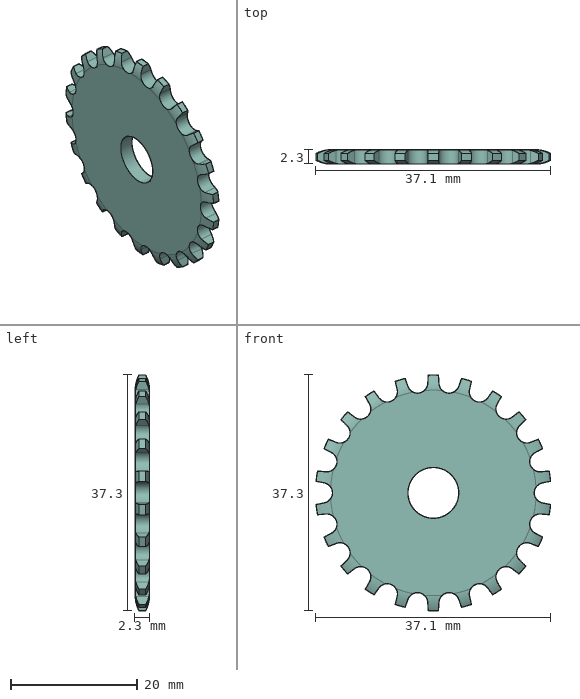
import cadquery as cq
import math

tooth_count = 22
chain_pitch = 5.0
roller_diameter = 3.2
outer_diameter = 37.3
plate_thickness = 2.3
bore_diameter = 8.0
tip_half_width = 0.83
flat_face_radius = 16.25
relief_radius = 5.0

tooth_angle = 360 / tooth_count
outer_radius = outer_diameter / 2
half_thickness = plate_thickness / 2
seat_radius = roller_diameter / 2
pitch_radius = chain_pitch / (2 * math.sin(math.pi / tooth_count))


def relief_depth(radius):
    """Axial depth of the rounded relief below the flat face at a given radius."""
    reach = radius - flat_face_radius
    return relief_radius - math.sqrt(relief_radius**2 - reach**2)


def make_blank():
    """Disc with rounded rim on both sides, revolved about the Y axis."""
    middle_radius = (flat_face_radius + outer_radius) / 2
    middle_y = half_thickness - relief_depth(middle_radius)
    tip_y = half_thickness - relief_depth(outer_radius)
    return (
        cq.Workplane("XY")
        .moveTo(0, -half_thickness)
        .lineTo(flat_face_radius, -half_thickness)
        .threePointArc((middle_radius, -middle_y), (outer_radius, -tip_y))
        .lineTo(outer_radius, tip_y)
        .threePointArc((middle_radius, middle_y), (flat_face_radius, half_thickness))
        .lineTo(0, half_thickness)
        .close()
        .revolve(360, (0, 0, 0), (0, 1, 0))
    )


def make_gap():
    """Cutter for one tooth gap on +Z: a round roller seat with straight flanks tangent to it."""
    tip_angle = math.pi / tooth_count - math.asin(tip_half_width / outer_radius)
    tip_x = outer_radius * math.sin(tip_angle)
    tip_z = outer_radius * math.cos(tip_angle)

    rise = tip_z - pitch_radius
    corner_direction = math.atan2(rise, tip_x)
    tangent_direction = corner_direction - math.acos(seat_radius / math.hypot(tip_x, rise))
    tangent_x = seat_radius * math.cos(tangent_direction)
    tangent_z = pitch_radius + seat_radius * math.sin(tangent_direction)

    end_x = 2 * tip_x - tangent_x
    end_z = 2 * tip_z - tangent_z
    return (
        cq.Workplane("XZ")
        .moveTo(-end_x, end_z)
        .lineTo(-tangent_x, tangent_z)
        .threePointArc((0, pitch_radius - seat_radius), (tangent_x, tangent_z))
        .lineTo(end_x, end_z)
        .close()
        .extrude(half_thickness, both=True)
    )


def cut_gaps(body):
    """Cut all gaps so that a tooth points along +Z."""
    gap = make_gap()
    for index in range(tooth_count):
        body = body.cut(gap.rotate((0, 0, 0), (0, 1, 0), (index + 0.5) * tooth_angle))
    return body


def cut_bore(body):
    """Cut the round bore through the disc along Y."""
    bore = cq.Workplane("XZ").circle(bore_diameter / 2).extrude(half_thickness, both=True)
    return body.cut(bore)


result = cut_bore(cut_gaps(make_blank()))